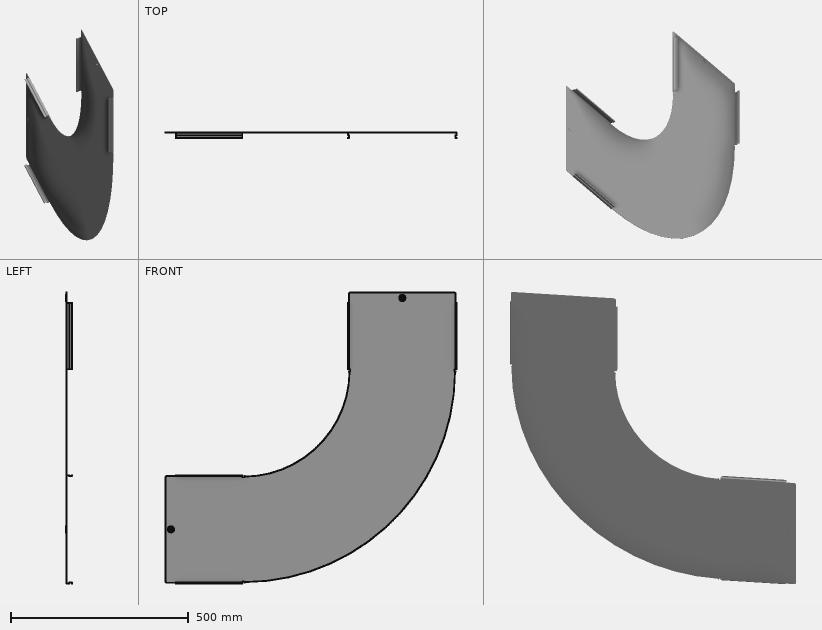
import cadquery as cq
import math

SIDE = 820.0
DEPTH = 17.0
SHEET = 1.0
HEAD_HEIGHT = 1.2

COVER_WIDTH = 306.0
ARM_LENGTH = 224.0
BEND_OFFSET = 221.0
PLATE_INSET = 2.5
BEND_INSET = 4.0
CORNER_RADIUS = 5.0

SKIRT_START = 29.5
SKIRT_LENGTH = 187.0
RELIEF_LENGTH = 5.0
RELIEF_DEPTH = 6.0
JOG = 2.5
JOG_DROP = 7.0
BEND_RADIUS = 0.65

FASTENER_INSET = 15.5
HEAD_RADIUS = 9.0
RING_RADII = (8.0, 6.0, 3.0, 2.0)
RING_STEP = 0.4

half = SIDE / 2
back_face = DEPTH / 2 - HEAD_HEIGHT
front_face = back_face - SHEET
skirt_tip = -DEPTH / 2

outer_edge = half
inner_edge = half - COVER_WIDTH
arm_middle = (outer_edge + inner_edge) / 2
bend_start = half - BEND_OFFSET
inner_radius = inner_edge + BEND_INSET + bend_start
outer_radius = outer_edge - BEND_INSET + bend_start


def facing_plane(y):
    """Plane at depth y with local x along X, local y along Z, extruding towards -Y."""
    return cq.Workplane("XZ", origin=(0, y, 0))


def swap_arms(shape):
    """Carry a feature of the upright arm to the level arm, across the diagonal of the bend."""
    return shape.mirror("YZ").rotate((0, 0, 0), (0, 1, 0), -90)


def arm_plate():
    """Flat upright arm with rounded end corners."""
    width = COVER_WIDTH - 2 * PLATE_INSET
    return (
        facing_plane(back_face)
        .center(arm_middle, half - ARM_LENGTH / 2)
        .rect(width, ARM_LENGTH)
        .extrude(SHEET)
        .edges("|Y and >Z")
        .fillet(CORNER_RADIUS)
    )


def bend_plate():
    """Quarter ring joining the two arms."""
    centre = (-bend_start, bend_start)
    diagonal = math.sqrt(0.5)

    def on_arc(radius, across, down):
        return (centre[0] + radius * across, centre[1] - radius * down)

    return (
        facing_plane(back_face)
        .moveTo(*on_arc(inner_radius, 1, 0))
        .lineTo(*on_arc(outer_radius, 1, 0))
        .threePointArc(on_arc(outer_radius, diagonal, diagonal), on_arc(outer_radius, 0, 1))
        .lineTo(*on_arc(inner_radius, 0, 1))
        .threePointArc(on_arc(inner_radius, diagonal, diagonal), on_arc(inner_radius, 1, 0))
        .close()
        .extrude(SHEET)
    )


def skirt(edge, inward):
    """Bent skirt along one arm edge, with a joggle towards the arm middle (inward is +1 or -1)."""
    jogged = edge + inward * JOG
    inside = edge + inward * SHEET
    jogged_inside = jogged + inward * SHEET
    root = edge + inward * 2 * PLATE_INSET
    jog_back = back_face - JOG_DROP
    jog_front = jog_back - SHEET
    lip_back = skirt_tip + SHEET
    outside_bends = [
        (edge, back_face),
        (edge, jog_front),
        (jogged_inside, skirt_tip),
        (jogged_inside, jog_back),
    ]
    inside_bends = [
        (jogged, jog_front),
        (jogged, lip_back),
        (inside, jog_back),
        (inside, front_face),
    ]
    profile = (
        [(root, back_face)]
        + outside_bends[:2]
        + inside_bends[:2]
        + [(edge, lip_back), (edge, skirt_tip)]
        + outside_bends[2:]
        + inside_bends[2:]
        + [(root, front_face)]
    )
    top = half - SKIRT_START
    strip = (
        cq.Workplane("XY", origin=(0, 0, top - SKIRT_LENGTH))
        .polyline(profile)
        .close()
        .extrude(SKIRT_LENGTH)
    )
    for bends, radius in ((outside_bends, BEND_RADIUS + SHEET), (inside_bends, BEND_RADIUS)):
        for x, y in bends:
            corner = cq.selectors.NearestToPointSelector((x, y, top - SKIRT_LENGTH / 2))
            strip = strip.edges("|Z").edges(corner).fillet(radius)
    return strip


def relief_notches():
    """Small notches freeing the skirts from the bend."""
    notch_top = half - SKIRT_START - SKIRT_LENGTH
    return (
        facing_plane(back_face)
        .pushPoints([(edge, notch_top - RELIEF_LENGTH / 2) for edge in (inner_edge, outer_edge)])
        .rect(2 * RELIEF_DEPTH, RELIEF_LENGTH)
        .extrude(SHEET)
    )


def fastener_head():
    """Round head on the back of the sheet."""
    return (
        facing_plane(back_face + HEAD_HEIGHT)
        .center(arm_middle, half - FASTENER_INSET)
        .circle(HEAD_RADIUS)
        .extrude(HEAD_HEIGHT + SHEET)
    )


def fastener_rings():
    """Shallow stepped recess on the front of the fastener."""
    steps = cq.Workplane()
    for level, radius in enumerate(RING_RADII, start=1):
        step = (
            facing_plane(front_face)
            .center(arm_middle, half - FASTENER_INSET)
            .circle(radius)
            .extrude(-level * RING_STEP)
        )
        steps = steps.add(step)
    return steps.combine()


upright_arm = (
    arm_plate()
    .union(skirt(inner_edge, 1))
    .union(skirt(outer_edge, -1))
    .union(fastener_head())
)
upright_cuts = relief_notches().union(fastener_rings())

result = bend_plate().union(upright_arm).union(swap_arms(upright_arm))
result = result.cut(upright_cuts).cut(swap_arms(upright_cuts))